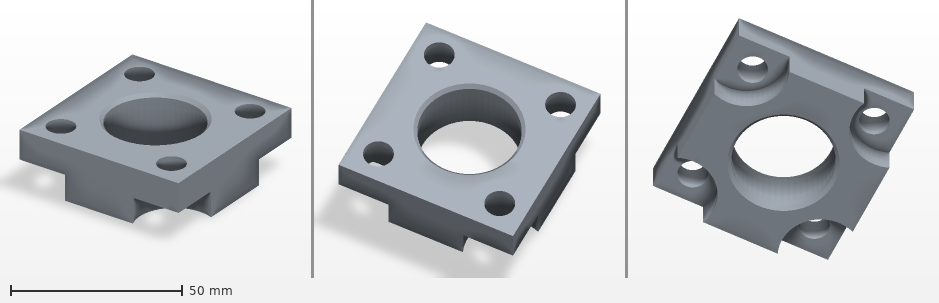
import cadquery as cq
import math

side = 57.0
height = 18.45
flange_thickness = 9.85
relief_height = height - flange_thickness

bore_diameter = 30.5
bore_chamfer = 1.15

hole_spacing = 39.6
hole_diameter = 9.0

relief_edge_reach = 16.35
relief_radius = 12.55
half_chord = relief_edge_reach / math.sqrt(2)
center_beyond_chord = math.sqrt(relief_radius**2 - half_chord**2)
relief_center_inset = relief_edge_reach / 2 - center_beyond_chord / math.sqrt(2)
relief_spacing = side - 2 * relief_center_inset


def at_square_corners(plane, spacing):
    """Place one point of the given workplane on each corner of a centred square."""
    return plane.rect(spacing, spacing, forConstruction=True).vertices()


body = cq.Workplane("XY").box(side, side, height, centered=(True, True, False))

body = body.faces(">Z").workplane().hole(bore_diameter)
body = body.edges("%CIRCLE").chamfer(bore_chamfer)

reliefs = at_square_corners(cq.Workplane("XY"), relief_spacing).circle(relief_radius).extrude(relief_height)
body = body.cut(reliefs)

result = at_square_corners(body.faces(">Z").workplane(), hole_spacing).hole(hole_diameter)